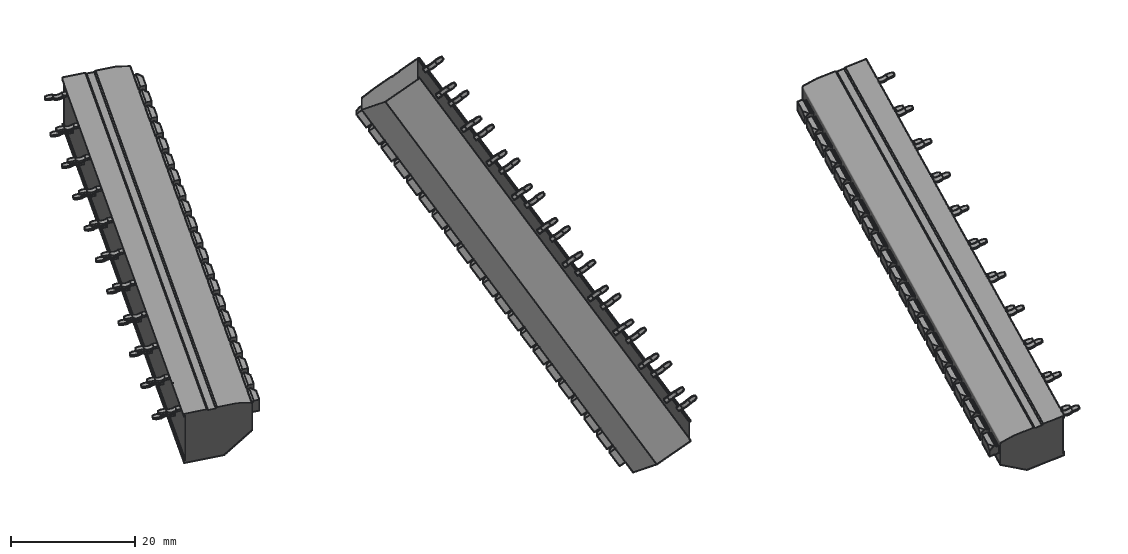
import cadquery as cq

pole_count = 21
pole_pitch = 3.5
end_wall = 1.5
housing_length = pole_count * pole_pitch + end_wall
housing_depth = 11.4
housing_height = 12.0
left_end = -housing_length / 2

back_chamfer = 4.7
top_slope_depth = 2.5
top_slope_drop = 0.5
back_round_depth = 0.45
back_round_drop = 0.4
round_middle_inset = 0.3

foot_height = 0.25
foot_width = 0.7
foot_edge_radius = 0.15

groove_center_y = 4.65
groove_width = 1.75
groove_floor_width = 1.25
groove_depth = 0.25

button_width = 2.8
button_offset = 0.7
button_protrusion = 1.6
button_top_z = 10.0
button_height = 2.7
step_start = 0.3
step_end = 0.65
step_drop = 0.55
corner_cut_x = 0.8
corner_cut_y = 0.7
corner_cut_z = 1.0

pin_width = 0.75
pin_thickness = 0.45
pin_length = 3.4
upper_pin_z = 9.75
pin_row_spacing = 5.0
bend_start = 0.5
bend_end = 2.1
upper_bend_height = 0.33
lower_bend_height = 0.3
tip_length = 0.5
tip_width = 0.5
tip_thickness = 0.35
pin_embed = 1.0


def extrude_along_x(outline, start_x, length):
    """Extrude a closed Y-Z outline towards +X."""
    return outline.close().extrude(length).translate((start_x, 0, 0))


def make_housing():
    top = housing_height
    back = housing_depth
    round_z = top - top_slope_drop
    round_y = back - back_round_depth
    round_middle = (
        back - round_middle_inset * back_round_depth,
        round_z - round_middle_inset * back_round_drop,
    )
    outline = (
        cq.Workplane("YZ")
        .moveTo(0, 0)
        .lineTo(back - back_chamfer, 0)
        .lineTo(back, back_chamfer)
        .lineTo(back, round_z - back_round_drop)
        .threePointArc(round_middle, (round_y, round_z))
        .lineTo(back - top_slope_depth, top)
        .lineTo(0, top)
    )
    housing = extrude_along_x(outline, left_end, housing_length)
    return housing.faces("<Y").edges("|X").fillet(foot_edge_radius)


def make_foot_recess():
    """Channel between the two feet that run along the seating side."""
    return (
        cq.Workplane("XY")
        .box(housing_length, foot_height, housing_height - 2 * foot_width, centered=(True, False, False))
        .translate((0, 0, foot_width))
    )


def make_top_groove():
    floor_z = housing_height - groove_depth
    outline = (
        cq.Workplane("YZ")
        .moveTo(groove_center_y - groove_width / 2, housing_height)
        .lineTo(groove_center_y - groove_floor_width / 2, floor_z)
        .lineTo(groove_center_y + groove_floor_width / 2, floor_z)
        .lineTo(groove_center_y + groove_width / 2, housing_height)
    )
    return extrude_along_x(outline, left_end, housing_length)


def make_button():
    """Button with its left side at X = 0, stepped down next to the housing."""
    tip_y = housing_depth + button_protrusion
    bottom_z = button_top_z - button_height
    outline = (
        cq.Workplane("YZ")
        .moveTo(housing_depth, bottom_z)
        .lineTo(tip_y, bottom_z)
        .lineTo(tip_y, button_top_z)
        .lineTo(housing_depth + step_end, button_top_z)
        .lineTo(housing_depth + step_start, button_top_z - step_drop)
        .lineTo(housing_depth, button_top_z - step_drop)
    )
    return extrude_along_x(outline, 0, button_width).cut(make_corner_cut(tip_y))


def make_corner_cut(tip_y):
    """Tetrahedron that takes off the upper left outer corner of a button."""
    corner = cq.Vector(0, tip_y, button_top_z)
    on_x = corner + cq.Vector(corner_cut_x, 0, 0)
    on_y = corner - cq.Vector(0, corner_cut_y, 0)
    on_z = corner - cq.Vector(0, 0, corner_cut_z)
    triangles = [(corner, on_x, on_y), (corner, on_y, on_z), (corner, on_z, on_x), (on_x, on_z, on_y)]
    faces = [cq.Face.makeFromWires(cq.Wire.makePolygon(points, close=True)) for points in triangles]
    return cq.Workplane(cq.Solid.makeSolid(cq.Shell.makeShell(faces)))


def make_pin(bow):
    """Pin centred on X = 0, Z = 0 whose middle is bowed by a signed height."""
    half = pin_thickness / 2
    bend_middle = (bend_start + bend_end) / 2
    taper_y = pin_length - tip_length
    shank = (
        cq.Workplane("YZ")
        .moveTo(pin_embed, half)
        .lineTo(-bend_start, half)
        .threePointArc((-bend_middle, half + bow), (-bend_end, half))
        .lineTo(-taper_y, half)
        .lineTo(-taper_y, -half)
        .lineTo(-bend_end, -half)
        .threePointArc((-bend_middle, bow - half), (-bend_start, -half))
        .lineTo(pin_embed, -half)
    )
    tip = (
        cq.Workplane("XZ", origin=(0, -taper_y, 0))
        .rect(pin_width, pin_thickness)
        .workplane(offset=tip_length)
        .rect(tip_width, tip_thickness)
        .loft()
    )
    return extrude_along_x(shank, -pin_width / 2, pin_width).union(tip)


button = make_button()
upper_pin = make_pin(-upper_bend_height).translate((0, 0, upper_pin_z))
lower_pin = make_pin(lower_bend_height).translate((0, 0, upper_pin_z - pin_row_spacing))

result = make_housing().cut(make_foot_recess()).cut(make_top_groove())
for pole in range(pole_count):
    pole_x = left_end + pole * pole_pitch
    pin = upper_pin if pole % 2 == 0 else lower_pin
    result = result.union(button.translate((pole_x + button_offset, 0, 0)))
    result = result.union(pin.translate((pole_x + pole_pitch / 2, 0, 0)))